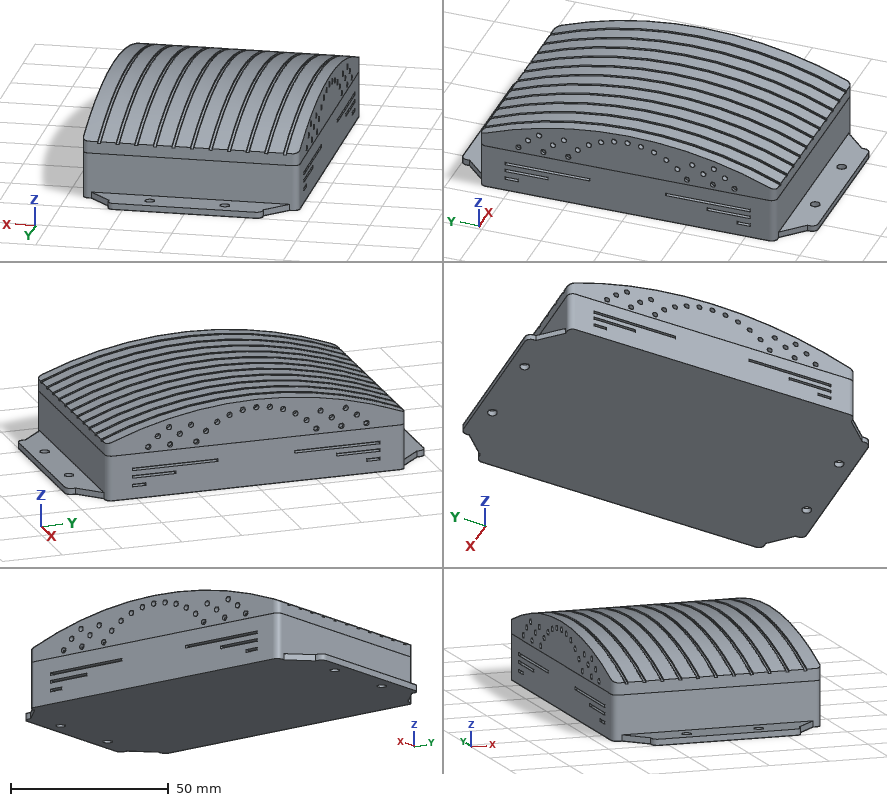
import cadquery as cq
import math

body_width = 70.0
body_length = 100.0
overall_length = 120.0
overall_height = 28.8
corner_radius = 2.0
wall = 2.0

parting_height = 15.0
lip_height = 2.0
lip_thickness = 1.0
eave_height = 19.0

groove_count = 11
groove_pitch = 6.0
groove_width = 1.0
groove_depth = 0.5
groove_row_center = -0.5

tab_thickness = 2.0
tab_root_half_width = 32.0
tab_tip_half_width = 25.0
tab_corner_radius = 2.0
tab_hole_diameter = 3.0
tab_hole_half_spacing = 12.1
tab_hole_inset = 5.0

slot_width = 0.8
slot_outer_end = 41.4
slots = [(28.5, 9.8), (14.5, 7.3), (4.5, 4.5)]

vent_diameter = 1.7
arch_radius = 26.2
arch_top_height = 26.2
arch_step = 10.0
arch_steps_each_way = 5
first_row_step = 3
left_row_shifts = [8.4, 16.8]
right_row_shifts = [8.8, 16.1]

half_length = body_length / 2
inner_width = body_width - 2 * wall
inner_length = body_length - 2 * wall
lip_top = parting_height + lip_height
roof_rise = overall_height - eave_height
roof_radius = (half_length**2 + roof_rise**2) / (2 * roof_rise)
roof_axis_height = overall_height - roof_radius


def block(width, length, bottom, top):
    """Upright block centred on the Z axis."""
    return cq.Workplane("XY").workplane(offset=bottom).rect(width, length).extrude(top - bottom)


def roof_cylinder(inset, width, center_x=0.0):
    """Cylinder along X that lies the given distance under the roof surface."""
    return (
        cq.Workplane("YZ", origin=(center_x - width / 2, 0, 0))
        .center(0, roof_axis_height)
        .circle(roof_radius - inset)
        .extrude(width)
    )


def tab_plate():
    """Flat plate under the whole base whose two ends form the mounting tabs."""
    tip_y = overall_length / 2
    shoulder_y = half_length + tab_root_half_width - tab_tip_half_width
    right_side = [
        (tab_tip_half_width, -tip_y),
        (tab_tip_half_width, -shoulder_y),
        (tab_root_half_width, -half_length),
        (tab_root_half_width, half_length),
        (tab_tip_half_width, shoulder_y),
        (tab_tip_half_width, tip_y),
    ]
    left_side = [(-x, -y) for x, y in right_side]
    plate = cq.Workplane("XY").polyline(right_side + left_side).close().extrude(tab_thickness)
    plate = plate.faces(">Y or <Y").edges("|Z").fillet(tab_corner_radius)
    hole_y = tip_y - tab_hole_inset
    return (
        plate.faces(">Z")
        .workplane(origin=(0, 0, 0))
        .rect(2 * tab_hole_half_spacing, 2 * hole_y, forConstruction=True)
        .vertices()
        .hole(tab_hole_diameter)
    )


def slot_cutters():
    """Bars along X that cut the vent slots through both side walls."""
    cutters = cq.Workplane("YZ", origin=(-body_width, 0, 0))
    for length, height in slots:
        middle_y = slot_outer_end - length / 2
        cutters = cutters.pushPoints([(-middle_y, height), (middle_y, height)]).rect(length, slot_width)
    return cutters.extrude(2 * body_width)


def vent_points():
    """(Y, Z) places of the cover's vent holes."""
    points = []
    for step in range(-arch_steps_each_way, arch_steps_each_way + 1):
        angle = math.radians(step * arch_step)
        y = arch_radius * math.sin(angle)
        z = arch_top_height - arch_radius * (1 - math.cos(angle))
        points.append((y, z))
        if step >= first_row_step:
            points += [(y + shift, z) for shift in left_row_shifts]
        if step <= -first_row_step:
            points += [(y - shift, z) for shift in right_row_shifts]
    return points


def vent_cutters():
    """Rods along X that cut the vent holes through both side walls."""
    return (
        cq.Workplane("YZ", origin=(-body_width, 0, 0))
        .pushPoints(vent_points())
        .circle(vent_diameter / 2)
        .extrude(2 * body_width)
    )


def lip_block():
    """Space inside the outer faces of the rim, which also sets the recess in the cover."""
    growth = 2 * lip_thickness
    return block(inner_width + growth, inner_length + growth, parting_height, lip_top)


def make_base():
    """Open tray with mounting tabs, vent slots and a rim that locates the cover."""
    tray = block(body_width, body_length, 0, parting_height).edges("|Z").fillet(corner_radius)
    tray = tray.union(tab_plate()).union(lip_block())
    return tray.cut(block(inner_width, inner_length, wall, lip_top)).cut(slot_cutters())


def make_cover():
    """Hollow lid with a curved, grooved roof and vent holes."""
    lid = block(body_width, body_length, parting_height, overall_height)
    lid = lid.edges("|Z").fillet(corner_radius).intersect(roof_cylinder(0, 2 * body_width))
    cavity = block(inner_width, inner_length, parting_height, overall_height)
    lid = lid.cut(cavity.intersect(roof_cylinder(wall, 2 * body_width))).cut(lip_block())
    for index in range(groove_count):
        x = groove_row_center + (index - (groove_count - 1) / 2) * groove_pitch
        band = block(groove_width, body_length, parting_height, overall_height)
        band = band.translate((x, 0, 0)).cut(roof_cylinder(groove_depth, 2 * groove_width, x))
        lid = lid.cut(band)
    return lid.cut(vent_cutters())


base = make_base()
cover = make_cover()
result = cq.Compound.makeCompound([base.val(), cover.val()])